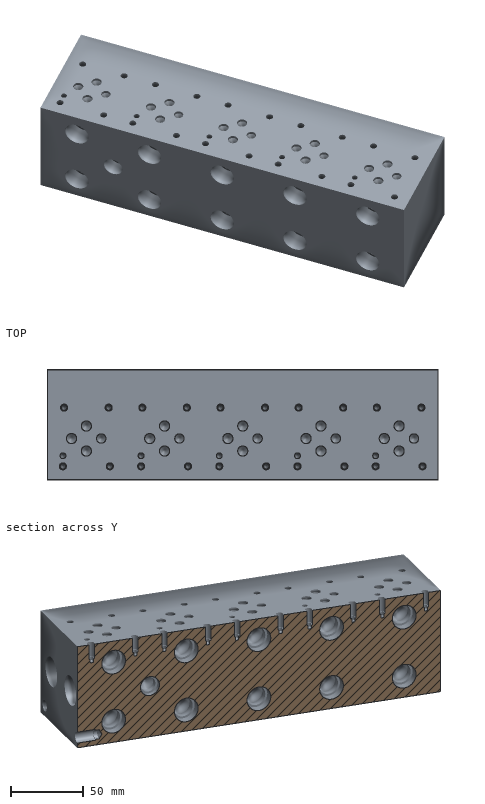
import cadquery as cq
import math

LENGTH = 270.0
WIDTH = 76.0
HEIGHT = 76.0

STATION_COUNT = 5
STATION_PITCH = 54.0
DRILL_POINT_ANGLE = 118.0

WORK_PORT_THREAD_DIA = 17.3
WORK_PORT_THREAD_DEPTH = 13.5
WORK_PORT_DRILL_DIA = 14.3
WORK_PORT_DEPTH = 19.0
WORK_PORT_OFFSET_Z = 22.0

GAUGE_PORT_X = -LENGTH / 2 + STATION_PITCH
GAUGE_PORT_THREAD_DIA = 13.8
GAUGE_PORT_THREAD_DEPTH = 10.8
GAUGE_PORT_DRILL_DIA = 10.8
GAUGE_PORT_DEPTH = 14.8

SUPPLY_PORT_THREAD_DIA = 21.5
SUPPLY_PORT_THREAD_DEPTH = 16.2
SUPPLY_PORT_STEP_DIA = 17.5
SUPPLY_PORT_STEP_DEPTH = 21.5
SUPPLY_PORT_DRILL_DIA = 16.0
SUPPLY_PORT_DEPTH = 32.5
SUPPLY_PORT_OFFSET_Y = 17.8

MOUNT_THREAD_DIA = 7.8
MOUNT_THREAD_DEPTH = 13.5
MOUNT_DRILL_DIA = 6.5
MOUNT_DEPTH = 16.2
MOUNT_OFFSET_Y = 30.2
MOUNT_OFFSET_Z = -30.2

FLOW_HOLE_DIA = 7.0
FLOW_RIGHT_HOLE_DIA = 6.5
FLOW_HOLE_DEPTH = 2.0
FLOW_CENTER_Y = -9.5
FLOW_HALF_SPAN_X = 10.3
FLOW_HALF_SPAN_Y = 8.6

BOLT_THREAD_DIA = 4.9
BOLT_THREAD_DEPTH = 10.8
BOLT_DRILL_DIA = 3.8
BOLT_DEPTH = 13.5
REAR_BOLT_HALF_SPAN = 15.5
REAR_BOLT_Y = 12.0
FRONT_BOLT_HALF_SPAN = 16.2
FRONT_BOLT_Y = -28.5

PIN_HOLE_DIA = 4.0
PIN_HOLE_DEPTH = 4.0
PIN_HOLE_Y = -21.3

FRONT_FACE = cq.Plane(origin=(0, -WIDTH / 2, 0), xDir=(1, 0, 0), normal=(0, -1, 0))
END_FACE = cq.Plane(origin=(-LENGTH / 2, 0, 0), xDir=(0, -1, 0), normal=(-1, 0, 0))
TOP_FACE = cq.Plane(origin=(0, 0, HEIGHT / 2), xDir=(1, 0, 0), normal=(0, 0, 1))


def stepped_hole(plane, center, steps):
    """Blind hole as a solid: (diameter, depth) steps from the mouth inward, ending in a drill point."""
    outline = [(0, 0)]
    depth_so_far = 0
    for diameter, depth in steps:
        outline.append((diameter / 2, -depth_so_far))
        outline.append((diameter / 2, -depth))
        depth_so_far = depth
    last_radius = steps[-1][0] / 2
    point_length = last_radius / math.tan(math.radians(DRILL_POINT_ANGLE / 2))
    outline.append((0, -depth_so_far - point_length))
    hole = cq.Workplane("XZ").polyline(outline).close().revolve(360, (0, 0), (0, 1)).val()
    return hole.translate(cq.Vector(*center, 0)).moved(plane.location)


def front_holes(station_xs):
    work_steps = [
        (WORK_PORT_THREAD_DIA, WORK_PORT_THREAD_DEPTH),
        (WORK_PORT_DRILL_DIA, WORK_PORT_DEPTH),
    ]
    gauge_steps = [
        (GAUGE_PORT_THREAD_DIA, GAUGE_PORT_THREAD_DEPTH),
        (GAUGE_PORT_DRILL_DIA, GAUGE_PORT_DEPTH),
    ]
    holes = [stepped_hole(FRONT_FACE, (GAUGE_PORT_X, 0), gauge_steps)]
    for x in station_xs:
        for z in (-WORK_PORT_OFFSET_Z, WORK_PORT_OFFSET_Z):
            holes.append(stepped_hole(FRONT_FACE, (x, z), work_steps))
    return holes


def end_holes():
    supply_steps = [
        (SUPPLY_PORT_THREAD_DIA, SUPPLY_PORT_THREAD_DEPTH),
        (SUPPLY_PORT_STEP_DIA, SUPPLY_PORT_STEP_DEPTH),
        (SUPPLY_PORT_DRILL_DIA, SUPPLY_PORT_DEPTH),
    ]
    mount_steps = [(MOUNT_THREAD_DIA, MOUNT_THREAD_DEPTH), (MOUNT_DRILL_DIA, MOUNT_DEPTH)]
    holes = []
    for side in (-1, 1):
        holes.append(stepped_hole(END_FACE, (side * SUPPLY_PORT_OFFSET_Y, 0), supply_steps))
        holes.append(stepped_hole(END_FACE, (side * MOUNT_OFFSET_Y, MOUNT_OFFSET_Z), mount_steps))
    return holes


def station_holes(x):
    flow_steps = [(FLOW_HOLE_DIA, FLOW_HOLE_DEPTH)]
    flow_right_steps = [(FLOW_RIGHT_HOLE_DIA, FLOW_HOLE_DEPTH)]
    bolt_steps = [(BOLT_THREAD_DIA, BOLT_THREAD_DEPTH), (BOLT_DRILL_DIA, BOLT_DEPTH)]
    pin_steps = [(PIN_HOLE_DIA, PIN_HOLE_DEPTH)]
    holes = [stepped_hole(TOP_FACE, (x - FRONT_BOLT_HALF_SPAN, PIN_HOLE_Y), pin_steps)]
    for side, side_steps in ((-1, flow_steps), (1, flow_right_steps)):
        flow_side = (x + side * FLOW_HALF_SPAN_X, FLOW_CENTER_Y)
        flow_middle = (x, FLOW_CENTER_Y + side * FLOW_HALF_SPAN_Y)
        rear_bolt = (x + side * REAR_BOLT_HALF_SPAN, REAR_BOLT_Y)
        front_bolt = (x + side * FRONT_BOLT_HALF_SPAN, FRONT_BOLT_Y)
        holes.append(stepped_hole(TOP_FACE, flow_side, side_steps))
        holes.append(stepped_hole(TOP_FACE, flow_middle, flow_steps))
        holes.append(stepped_hole(TOP_FACE, rear_bolt, bolt_steps))
        holes.append(stepped_hole(TOP_FACE, front_bolt, bolt_steps))
    return holes


station_xs = [(i - (STATION_COUNT - 1) / 2) * STATION_PITCH for i in range(STATION_COUNT)]

all_holes = front_holes(station_xs) + end_holes()
for station_x in station_xs:
    all_holes += station_holes(station_x)

block = cq.Workplane("XY").box(LENGTH, WIDTH, HEIGHT)
result = cq.Workplane(block.val().cut(*all_holes).Solids()[0])